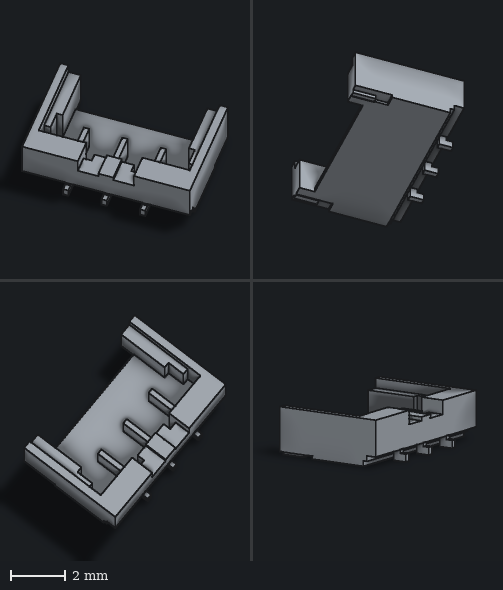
import cadquery as cq

width = 6.55
depth = 4.3
height = 1.85
body_bottom = 0.04
floor_top = 0.2
floor_back = 3.7
side_wall = 0.33
front_wall = 0.94

upper_step_depth = 0.39
upper_step_top = 0.46
lower_step_depth = 0.55
lower_step_top = 0.25

notch_width = 2.19
notch_bottom = 1.31
key_width = 0.58
key_top = 1.455
pocket_width = 0.32
pocket_front = 0.635

rail_top = 1.475
thick_rail_inset = 0.81
thick_rail_front = 2.24
thin_rail_inset = 0.58
thin_rail_front = 1.54

pad_inset = 0.25
pad_width = 0.195
pad_length = 0.905
recess_length = 1.455
recess_top = 0.16

pin_offsets = (-1.5, 0.0, 1.5)
pin_width = 0.21
blade_back = 2.15
blade_top = 1.2
post_front = 0.05
post_back = 0.35
foot_front = -0.2
foot_top = 0.3


def block(x_range, y_range, z_range):
    """Axis-aligned box given by its limits."""
    sizes = [high - low for low, high in (x_range, y_range, z_range)]
    corner = (x_range[0], y_range[0], z_range[0])
    return cq.Workplane("XY").box(*sizes, centered=False).translate(corner)


def centered_span(size, center=0.0):
    return (center - size / 2, center + size / 2)


def both_sides(left_part):
    """A left-hand shape together with its mirror image in X = 0."""
    return left_part.union(left_part.mirror("YZ"))


def make_shell():
    shell = block(centered_span(width), (0, depth), (body_bottom, height))
    inner = centered_span(width - 2 * side_wall)
    cavity = block(inner, (front_wall, depth), (floor_top, height))
    back_opening = block(inner, (floor_back, depth), (body_bottom, height))
    shell = shell.cut(cavity).cut(back_opening)
    for step_depth, step_top in (
        (upper_step_depth, upper_step_top),
        (lower_step_depth, lower_step_top),
    ):
        shell = shell.cut(block(centered_span(width), (0, step_depth), (body_bottom, step_top)))
    return shell


def cut_front_notch(shell):
    notch = block(centered_span(notch_width), (0, front_wall), (notch_bottom, height))
    key = block(centered_span(key_width), (0, front_wall), (notch_bottom, key_top))
    notch_left = -notch_width / 2
    pocket = block(
        (notch_left, notch_left + pocket_width), (pocket_front, front_wall), (floor_top, notch_bottom)
    )
    return shell.cut(notch).cut(both_sides(pocket)).union(key)


def make_rails():
    left = -width / 2
    rail_heights = (body_bottom, rail_top)
    thick = block((left + side_wall, left + thick_rail_inset), (thick_rail_front, depth), rail_heights)
    thin = block((left + side_wall, left + thin_rail_inset), (thin_rail_front, depth), rail_heights)
    return both_sides(thick.union(thin))


def add_solder_pads(body):
    left = -width / 2
    pad_left = left + pad_inset
    pad_right = pad_left + pad_width
    recess = block((left, pad_right), (depth - recess_length, depth), (body_bottom, recess_top))
    pad = block((pad_left, pad_right), (depth - pad_length, depth), (0, recess_top))
    return body.cut(both_sides(recess)).union(both_sides(pad))


def make_pin(center):
    across = centered_span(pin_width, center)
    blade = block(across, (front_wall, blade_back), (floor_top, blade_top))
    post = block(across, (post_front, post_back), (0, upper_step_top))
    foot = block(across, (foot_front, post_back), (0, foot_top))
    return blade.union(post).union(foot)


housing = cut_front_notch(make_shell()).union(make_rails())
result = add_solder_pads(housing)
for pin_offset in pin_offsets:
    result = result.union(make_pin(pin_offset))